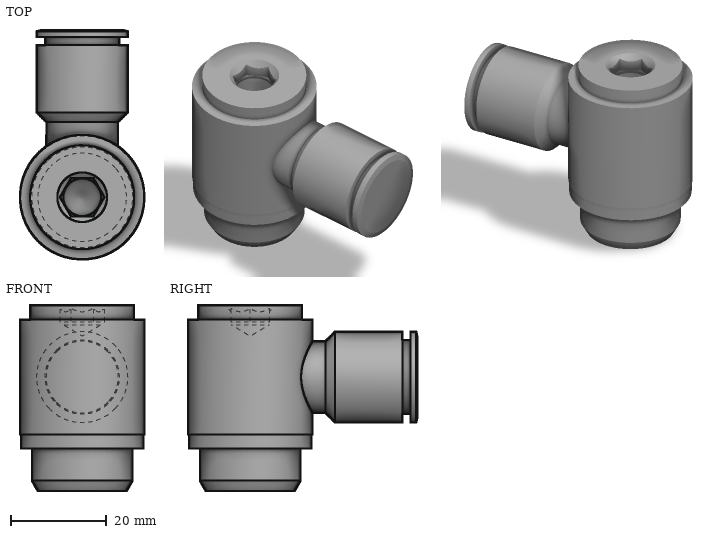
import cadquery as cq
import math

TOTAL_HEIGHT = 38.8
COLLAR_DIAMETER = 21.7
COLLAR_HEIGHT = 3.0
BODY_DIAMETER = 26.0
FLANGE_DIAMETER = 25.6
FLANGE_HEIGHT = 2.9
SPIGOT_DIAMETER = 21.0
SPIGOT_HEIGHT = 8.9
SPIGOT_CHAMFER_HEIGHT = 2.2
SPIGOT_CHAMFER_ANGLE = 30.0

HEX_ACROSS_FLATS = 8.0
HEX_DEPTH = 3.5
COUNTERSINK_DIAMETER = 10.35
COUNTERSINK_ANGLE = 80.0
DRILL_DIAMETER = 7.9
DRILL_DEPTH_BELOW_HEX = 0.6
DRILL_POINT_ANGLE = 118.0

BRANCH_AXIS_DROP = 15.0
BRANCH_END_Y = 34.9
STEM_DIAMETER = 15.0
SLEEVE_DIAMETER = 19.0
SLEEVE_LENGTH = 14.0
SLEEVE_TAPER_LENGTH = 2.0
NECK_DIAMETER = 15.5
NECK_LENGTH = 1.7
RING_DIAMETER = SLEEVE_DIAMETER
RING_THICKNESS = 1.5
RING_BEVEL_LENGTH = 0.3
RING_FACE_DIAMETER = 16.5


def make_body():
    """Revolve the stepped body profile about the Z axis."""
    flange_top = SPIGOT_HEIGHT + FLANGE_HEIGHT
    collar_base = TOTAL_HEIGHT - COLLAR_HEIGHT
    spigot_radius = SPIGOT_DIAMETER / 2
    chamfer_width = SPIGOT_CHAMFER_HEIGHT * math.tan(math.radians(SPIGOT_CHAMFER_ANGLE))
    profile = [
        (0, 0),
        (spigot_radius - chamfer_width, 0),
        (spigot_radius, SPIGOT_CHAMFER_HEIGHT),
        (spigot_radius, SPIGOT_HEIGHT),
        (FLANGE_DIAMETER / 2, SPIGOT_HEIGHT),
        (FLANGE_DIAMETER / 2, flange_top),
        (BODY_DIAMETER / 2, flange_top),
        (BODY_DIAMETER / 2, collar_base),
        (COLLAR_DIAMETER / 2, collar_base),
        (COLLAR_DIAMETER / 2, TOTAL_HEIGHT),
        (0, TOTAL_HEIGHT),
    ]
    return cq.Workplane("XZ").polyline(profile).close().revolve(360, (0, 0), (0, 1))


def make_branch():
    """Revolve the stepped branch profile about its own axis, parallel to Y."""
    ring_back = BRANCH_END_Y - RING_THICKNESS
    sleeve_end = ring_back - NECK_LENGTH
    taper_end = sleeve_end - SLEEVE_LENGTH
    taper_start = taper_end - SLEEVE_TAPER_LENGTH
    profile = [
        (0, 0),
        (STEM_DIAMETER / 2, 0),
        (STEM_DIAMETER / 2, taper_start),
        (SLEEVE_DIAMETER / 2, taper_end),
        (SLEEVE_DIAMETER / 2, sleeve_end),
        (NECK_DIAMETER / 2, sleeve_end),
        (NECK_DIAMETER / 2, ring_back),
        (RING_DIAMETER / 2, ring_back),
        (RING_DIAMETER / 2, BRANCH_END_Y - RING_BEVEL_LENGTH),
        (RING_FACE_DIAMETER / 2, BRANCH_END_Y),
        (0, BRANCH_END_Y),
    ]
    branch = cq.Workplane("XY").polyline(profile).close().revolve(360, (0, 0), (0, 1))
    return branch.translate((0, 0, TOTAL_HEIGHT - BRANCH_AXIS_DROP))


def make_socket():
    """Hexagon, countersunk mouth and pointed drill hole, as one cutting solid."""
    across_corners = HEX_ACROSS_FLATS / math.cos(math.radians(30))
    hexagon = (
        cq.Workplane("XY", origin=(0, 0, TOTAL_HEIGHT))
        .polygon(6, across_corners)
        .extrude(-HEX_DEPTH)
    )

    mouth_radius = COUNTERSINK_DIAMETER / 2
    drill_radius = DRILL_DIAMETER / 2
    mouth_depth = (mouth_radius - drill_radius) / math.tan(math.radians(COUNTERSINK_ANGLE / 2))
    drill_shoulder = TOTAL_HEIGHT - HEX_DEPTH - DRILL_DEPTH_BELOW_HEX
    point_depth = drill_radius / math.tan(math.radians(DRILL_POINT_ANGLE / 2))
    profile = [
        (0, TOTAL_HEIGHT),
        (mouth_radius, TOTAL_HEIGHT),
        (drill_radius, TOTAL_HEIGHT - mouth_depth),
        (drill_radius, drill_shoulder),
        (0, drill_shoulder - point_depth),
    ]
    bore = cq.Workplane("XZ").polyline(profile).close().revolve(360, (0, 0), (0, 1))
    return hexagon.union(bore)


result = make_body().union(make_branch()).cut(make_socket())